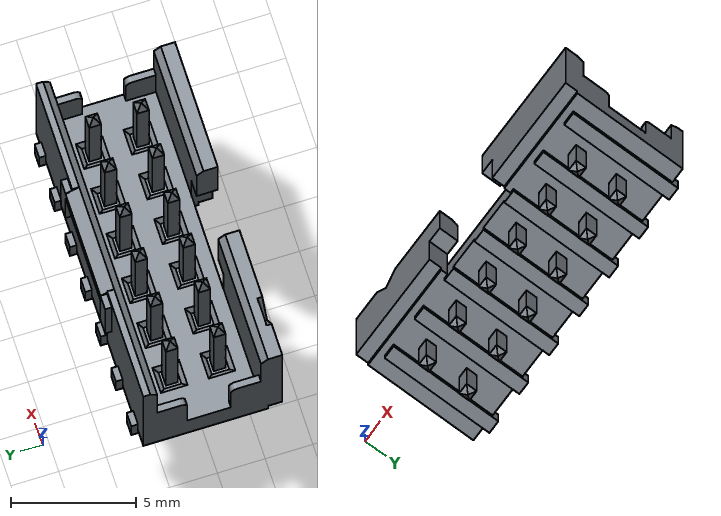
import cadquery as cq


OVERALL_HEIGHT = 8.35
LENGTH = 14.0
HEIGHT = 5.88
CAVITY_WIDTH = 4.34
FLOOR_Z = 1.7
FRONT_WALL = 0.9
REAR_WALL = 0.59
END_WALL = 0.3
BOTTOM_Z = 0.3
FRONT_STEP_DEPTH = 0.59
FRONT_STEP_Z = 0.59
BEVEL = 0.3
INNER_Y = CAVITY_WIDTH / 2
FRONT_Y = -INNER_Y - FRONT_WALL
REAR_Y = INNER_Y + REAR_WALL

END_WALL_TOP_Z = 3.6
END_SLOT_WIDTH = 1.82
END_SLOT_RADIUS = 0.3

KEY_TOP_WIDTH = 2.83
KEY_BASE_WIDTH = 4.2
KEY_STEP_Z = 3.29

MARK_WIDTH = 1.22
MARK_HEIGHT = 1.08
MARK_DEPTH = 0.21

REAR_PROJECTION = 0.28
RIB_WIDTH = 0.6
RIB_BOTTOM_Z = 2.84
FRAME_TOP_Z = HEIGHT - BEVEL
WINDOW_WIDTH = 1.8
WINDOW_HEIGHT = 1.2
WINDOW_GAP = 0.95
WINDOW_TOP_Z = 5.0
WINDOW_RADIUS = 0.21
RAMP_WIDTH = 2 * WINDOW_WIDTH + WINDOW_GAP
FRAME_REAR_Y = REAR_Y + REAR_PROJECTION

PITCH = 2.0
COLUMNS = 6
ROWS = 2
PIN_SIZE = 0.5
PIN_TOP_Z = 5.71
PIN_BOTTOM_Z = HEIGHT - OVERALL_HEIGHT
TIP_HEIGHT = 0.39
LEAD_IN_TOP = 1.12
LEAD_IN_BOTTOM = 0.73
LEAD_IN_DEPTH = (LEAD_IN_TOP - LEAD_IN_BOTTOM) / 2
STANDOFF_WIDTH = 0.6
STANDOFF_REAR_Z = 1.01


def box(x_range, y_range, z_range):
    """Box between the given limits on each axis."""
    sizes = [high - low for low, high in (x_range, y_range, z_range)]
    corner = (x_range[0], y_range[0], z_range[0])
    return cq.Workplane("XY").box(*sizes, centered=False).translate(corner)


def centered_box(width, y_range, z_range):
    """Box centred on X = 0."""
    return box((-width / 2, width / 2), y_range, z_range)


def extrude_along_x(points, width):
    """Closed (Y, Z) outline extruded along X, centred on X = 0."""
    return cq.Workplane("YZ").polyline(points).close().extrude(width / 2, both=True)


def make_housing():
    """Trough-shaped housing with low end walls and bevelled long walls."""
    bevel_z = HEIGHT - BEVEL
    step_y = FRONT_Y + FRONT_STEP_DEPTH
    trough = [
        (REAR_Y, BOTTOM_Z),
        (REAR_Y, HEIGHT),
        (INNER_Y + BEVEL, HEIGHT),
        (INNER_Y, bevel_z),
        (INNER_Y, FLOOR_Z),
        (-INNER_Y, FLOOR_Z),
        (-INNER_Y, bevel_z),
        (-INNER_Y - BEVEL, HEIGHT),
        (FRONT_Y, HEIGHT),
        (FRONT_Y, FRONT_STEP_Z),
        (step_y, FRONT_STEP_Z),
        (step_y, BOTTOM_Z),
    ]
    housing = extrude_along_x(trough, LENGTH)

    post_z = (FLOOR_Z, END_WALL_TOP_Z)
    front_post = (
        box((-LENGTH / 2, -LENGTH / 2 + END_WALL), (-INNER_Y, -END_SLOT_WIDTH / 2), post_z)
        .edges("|X and >Y and >Z")
        .fillet(END_SLOT_RADIUS)
    )
    left_posts = front_post.union(front_post.mirror("XZ"))
    return housing.union(left_posts).union(left_posts.mirror("YZ"))


def make_key_opening():
    """Stepped opening through the whole front wall."""
    wall_y = (FRONT_Y, -INNER_Y)
    upper = centered_box(KEY_TOP_WIDTH, wall_y, (FLOOR_Z, HEIGHT))
    lower = centered_box(KEY_BASE_WIDTH, wall_y, (BOTTOM_Z, KEY_STEP_Z))
    return upper.union(lower)


def make_pin_one_mark():
    """Triangular recess pointing down over the first pin column."""
    first_pin_x = -PITCH * (COLUMNS - 1) / 2
    return (
        cq.Workplane("XZ", origin=(first_pin_x, FRONT_Y, HEIGHT))
        .polyline([(-MARK_WIDTH / 2, 0), (MARK_WIDTH / 2, 0), (0, -MARK_HEIGHT)])
        .close()
        .extrude(-MARK_DEPTH)
    )


def add_rear_frame(housing):
    """Frame of two ribs and a ramped bar on the rear wall, with two windows between the ribs."""
    frame_y = (REAR_Y, FRAME_REAR_Y)
    frame_width = RAMP_WIDTH + 2 * RIB_WIDTH
    ribs = centered_box(frame_width, frame_y, (RIB_BOTTOM_Z, FRAME_TOP_Z)).cut(
        centered_box(RAMP_WIDTH, frame_y, (RIB_BOTTOM_Z, FRAME_TOP_Z))
    )
    bar = centered_box(RAMP_WIDTH, frame_y, (WINDOW_TOP_Z, HEIGHT))
    housing = housing.union(ribs).union(bar)

    above_ramp = [(INNER_Y + BEVEL, HEIGHT), (FRAME_REAR_Y, HEIGHT), (FRAME_REAR_Y, FRAME_TOP_Z)]
    housing = housing.cut(extrude_along_x(above_ramp, RAMP_WIDTH))

    left_window = (
        box(
            (-RAMP_WIDTH / 2, -WINDOW_GAP / 2),
            (INNER_Y, REAR_Y),
            (WINDOW_TOP_Z - WINDOW_HEIGHT, WINDOW_TOP_Z),
        )
        .edges("|Y")
        .fillet(WINDOW_RADIUS)
    )
    return housing.cut(left_window).cut(left_window.mirror("YZ"))


def make_standoff():
    """L-shaped rib under the floor that turns up the rear wall."""
    outline = [
        (-INNER_Y, 0),
        (FRAME_REAR_Y, 0),
        (FRAME_REAR_Y, STANDOFF_REAR_Z),
        (REAR_Y, STANDOFF_REAR_Z),
        (REAR_Y, BOTTOM_Z),
        (-INNER_Y, BOTTOM_Z),
    ]
    return extrude_along_x(outline, STANDOFF_WIDTH)


def frustum(bottom_z, bottom_size, top_z, top_size):
    """Square frustum between two heights."""
    return (
        cq.Workplane("XY", origin=(0, 0, bottom_z))
        .rect(bottom_size, bottom_size)
        .workplane(offset=top_z - bottom_z)
        .rect(top_size, top_size)
        .loft()
    )


def square_pyramid(base_z, apex_z):
    """Pin tip: square pyramid standing on the pin's section."""
    half = PIN_SIZE / 2
    apex = cq.Vector(0, 0, apex_z)
    corners = [
        cq.Vector(x, y, base_z) for x, y in ((-half, -half), (half, -half), (half, half), (-half, half))
    ]
    faces = [cq.Face.makeFromWires(cq.Wire.makePolygon(corners, close=True))]
    for index, corner in enumerate(corners):
        side = [corners[index - 1], corner, apex]
        faces.append(cq.Face.makeFromWires(cq.Wire.makePolygon(side, close=True)))
    return cq.Workplane(cq.Solid.makeSolid(cq.Shell.makeShell(faces)))


def make_pin():
    """Square pin with a pointed tip at each end."""
    half = PIN_SIZE / 2
    shank_z = (PIN_BOTTOM_Z + TIP_HEIGHT, PIN_TOP_Z - TIP_HEIGHT)
    shank = box((-half, half), (-half, half), shank_z)
    upper_tip = square_pyramid(shank_z[1], PIN_TOP_Z)
    lower_tip = square_pyramid(shank_z[0], PIN_BOTTOM_Z)
    return shank.union(upper_tip).union(lower_tip)


result = make_housing().cut(make_key_opening()).cut(make_pin_one_mark())
result = add_rear_frame(result)

standoff = make_standoff()
for index in range(COLUMNS + 1):
    result = result.union(standoff.translate(((index - COLUMNS / 2) * PITCH, 0, 0)))

pin = make_pin()
lead_in = frustum(FLOOR_Z - LEAD_IN_DEPTH, LEAD_IN_BOTTOM, FLOOR_Z, LEAD_IN_TOP)
for column in range(COLUMNS):
    for row in range(ROWS):
        pin_x = (column - (COLUMNS - 1) / 2) * PITCH
        pin_y = (row - (ROWS - 1) / 2) * PITCH
        position = (pin_x, pin_y, 0)
        result = result.cut(lead_in.translate(position)).union(pin.translate(position))